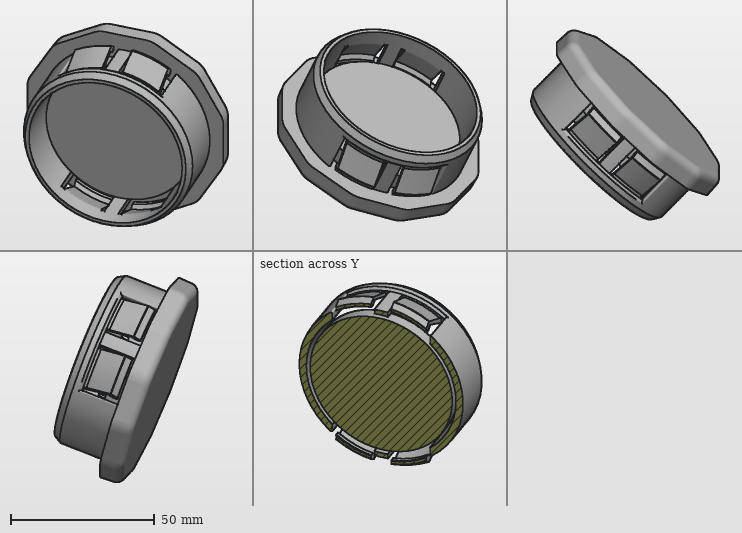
import cadquery as cq
import math


CAP_SIDES = 12
CAP_WIDTH = 73.15
CAP_THICKNESS = 8.05
CAP_CORNER_RADIUS = 8.4
CAP_DRAFT_ANGLE = 3.0
CAP_RIM_RADIUS = 3.3

BARREL_DIAMETER = 63.0
BORE_DIAMETER = 57.1
BARREL_LENGTH = 20.0
LEAD_IN_LENGTH = 2.6
LEAD_IN_DEPTH = 1.5

CORE_DIAMETER = 54.65
CORE_HEIGHT = 6.1

RECESS_DEPTH = 0.95
RECESS_WIDTH = 37.2
RECESS_EDGE_RADIUS = 0.55
RECESS_END_BEVEL = 1.0

WINDOW_LENGTH = 14.1
CENTER_BAR_WIDTH = 5.1
LATCH_GAP = 1.28
LATCH_FOOT_LENGTH = 1.1
LATCH_ROOT_RADIUS = 2.2
LATCH_UNDERSIDE_ANGLE = 22.5
LATCH_CROOK_DISTANCE = 4.75

LATCH_NOSE = [(1.3, 32.3), (2.0, 32.9), (2.55, 33.2), (3.1, 33.6), (3.7, 33.95), (3.95, 33.95)]

LATCH_HEEL = [(3.2, 31.0), (1.7, 31.0), (1.3, 31.3)]

BARREL_RADIUS = BARREL_DIAMETER / 2
BORE_RADIUS = BORE_DIAMETER / 2
RECESS_FLOOR_RADIUS = BARREL_RADIUS - RECESS_DEPTH
WINDOW_OUTER_X = RECESS_WIDTH / 2
WINDOW_INNER_X = CENTER_BAR_WIDTH / 2
LATCH_OUTER_X = WINDOW_OUTER_X - LATCH_GAP
LATCH_INNER_X = WINDOW_INNER_X + LATCH_GAP


def revolve_about_y(outline):
    """Revolve an open (radius, y) outline, closed by a straight line, about the plug axis."""
    return outline.close().revolve(360, (0, 0), (0, 1))


def sector_block(inner_x, outer_x):
    """Block over the window length, from the mid-plane to above the part."""
    return (
        cq.Workplane("XY")
        .box(outer_x - inner_x, WINDOW_LENGTH, CAP_WIDTH, centered=False)
        .translate((inner_x, -WINDOW_LENGTH, 0))
    )


def make_cap():
    corner_circle_diameter = CAP_WIDTH / math.cos(math.pi / CAP_SIDES)
    outline = (
        cq.Sketch()
        .regularPolygon(corner_circle_diameter / 2, CAP_SIDES, 180 / CAP_SIDES)
        .vertices()
        .fillet(CAP_CORNER_RADIUS)
    )
    plate = cq.Workplane("XZ").placeSketch(outline).extrude(-CAP_THICKNESS, taper=CAP_DRAFT_ANGLE)
    return plate.faces(">Y").edges().fillet(CAP_RIM_RADIUS)


def make_core():
    return cq.Workplane("XZ").circle(CORE_DIAMETER / 2).extrude(CORE_HEIGHT)


def make_barrel():
    wall = cq.Workplane("XY").polyline([
        (BORE_RADIUS, 0),
        (BARREL_RADIUS, 0),
        (BARREL_RADIUS, LEAD_IN_LENGTH - BARREL_LENGTH),
        (BARREL_RADIUS - LEAD_IN_DEPTH, -BARREL_LENGTH),
        (BORE_RADIUS, -BARREL_LENGTH),
    ])
    return revolve_about_y(wall)


def make_recess_cutter():
    """Pocket around both latches of the +Z side, with a round floor."""
    length = WINDOW_LENGTH + RECESS_END_BEVEL

    arc_x = RECESS_WIDTH / 2 + RECESS_EDGE_RADIUS
    arc_orbit = BARREL_RADIUS - RECESS_EDGE_RADIUS
    arc_z = math.sqrt(arc_orbit**2 - arc_x**2)
    run_out_x = arc_x * BARREL_RADIUS / arc_orbit
    run_out_z = arc_z * BARREL_RADIUS / arc_orbit
    opening = (
        cq.Workplane("XZ")
        .moveTo(-RECESS_WIDTH / 2, 0)
        .lineTo(-RECESS_WIDTH / 2, arc_z)
        .tangentArcPoint((-run_out_x, run_out_z), relative=False)
        .lineTo(-run_out_x, BARREL_RADIUS)
        .lineTo(run_out_x, BARREL_RADIUS)
        .lineTo(run_out_x, run_out_z)
        .radiusArc((RECESS_WIDTH / 2, arc_z), -RECESS_EDGE_RADIUS)
        .lineTo(RECESS_WIDTH / 2, 0)
        .close()
        .extrude(length)
    )
    bevelled_ring = cq.Workplane("XY").polyline([
        (RECESS_FLOOR_RADIUS, 0),
        (BARREL_RADIUS, 0),
        (BARREL_RADIUS, -length),
        (RECESS_FLOOR_RADIUS, -WINDOW_LENGTH),
    ])
    return opening.intersect(revolve_about_y(bevelled_ring))


def make_latch():
    """Latch of the +X, +Z quarter: a revolved profile trimmed to flat sides."""
    angle = math.radians(LATCH_UNDERSIDE_ANGLE)
    root_end = (
        BORE_RADIUS + LATCH_ROOT_RADIUS * (1 - math.cos(angle)),
        LATCH_ROOT_RADIUS * math.sin(angle) - WINDOW_LENGTH,
    )
    arm_run = -root_end[1] - LATCH_CROOK_DISTANCE
    crook = (root_end[0] + arm_run * math.tan(angle), -LATCH_CROOK_DISTANCE)
    nose = [(radius, -distance) for distance, radius in LATCH_NOSE]
    heel = [(radius, -distance) for distance, radius in LATCH_HEEL]
    profile = (
        cq.Workplane("XY")
        .polyline(nose)
        .lineTo(RECESS_FLOOR_RADIUS, LATCH_FOOT_LENGTH - WINDOW_LENGTH)
        .lineTo(RECESS_FLOOR_RADIUS, -WINDOW_LENGTH)
        .lineTo(BORE_RADIUS, -WINDOW_LENGTH)
        .radiusArc(root_end, LATCH_ROOT_RADIUS)
        .polyline([crook] + heel, includeCurrent=True)
    )
    return revolve_about_y(profile).intersect(sector_block(LATCH_INNER_X, LATCH_OUTER_X))


def on_both_ends(body):
    """The body and its mirror image on the -Z side."""
    return body.union(body.mirror("XY"))


def on_four_quarters(body):
    """Copies of the body mirrored across both planes through the plug axis."""
    return on_both_ends(body.union(body.mirror("YZ")))


windows = on_four_quarters(sector_block(WINDOW_INNER_X, WINDOW_OUTER_X))
barrel = make_barrel().cut(on_both_ends(make_recess_cutter())).cut(windows)
latches = on_four_quarters(make_latch())
result = make_cap().union(make_core()).union(barrel).union(latches)